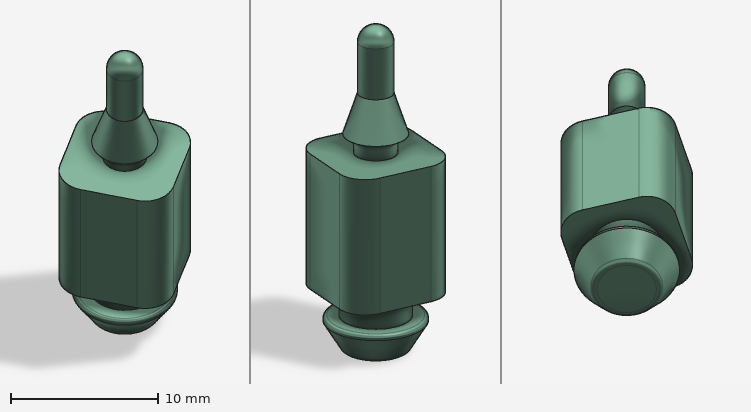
import cadquery as cq

total_height = 23.9
body_width = 8.0
body_corner_radius = 2.0

foot_height = 2.5
lower_neck_height = 2.0
body_height = 10.0
upper_neck_height = 1.39
barb_height = 3.0

foot_bottom_radius = 2.3
foot_rim_radius = 3.58
foot_rim_height = 0.38
foot_top_rounding = 0.26
foot_lower_rounding = 0.5
lower_neck_radius = 2.5
upper_neck_radius = 1.5
barb_radius = 2.25
pin_radius = 1.25

body_bottom = foot_height + lower_neck_height
body_top = body_bottom + body_height
barb_bottom = body_top + upper_neck_height
barb_top = barb_bottom + barb_height
dome_base = total_height - pin_radius


def make_foot():
    """Tapered foot with a short straight rim and rounded edges."""
    profile = (
        cq.Workplane("XZ")
        .lineTo(foot_bottom_radius, 0)
        .lineTo(foot_rim_radius, foot_height - foot_rim_height)
        .lineTo(foot_rim_radius, foot_height)
        .lineTo(0, foot_height)
        .close()
    )
    foot = profile.revolve(360, (0, 0, 0), (0, 1, 0))
    foot = foot.faces(">Z").edges().fillet(foot_top_rounding)
    return foot.faces("<Z").edges().fillet(foot_lower_rounding)


def make_lower_neck():
    """Round neck joining the foot to the body."""
    return cq.Workplane("XY").workplane(offset=foot_height).circle(lower_neck_radius).extrude(lower_neck_height)


def make_body():
    """Square spacer body with rounded vertical corners."""
    block = cq.Workplane("XY").workplane(offset=body_bottom).rect(body_width, body_width).extrude(body_height)
    return block.edges("|Z").fillet(body_corner_radius)


def make_pin():
    """Neck, conical barb and dome-ended pin, turned about Z."""
    dome_diagonal = pin_radius * 0.5**0.5
    profile = (
        cq.Workplane("XZ")
        .moveTo(0, body_top)
        .lineTo(upper_neck_radius, body_top)
        .lineTo(upper_neck_radius, barb_bottom)
        .lineTo(barb_radius, barb_bottom)
        .lineTo(pin_radius, barb_top)
        .lineTo(pin_radius, dome_base)
        .threePointArc((dome_diagonal, dome_base + dome_diagonal), (0, total_height))
        .close()
    )
    return profile.revolve(360, (0, 0, 0), (0, 1, 0))


result = make_foot().union(make_lower_neck()).union(make_body()).union(make_pin())